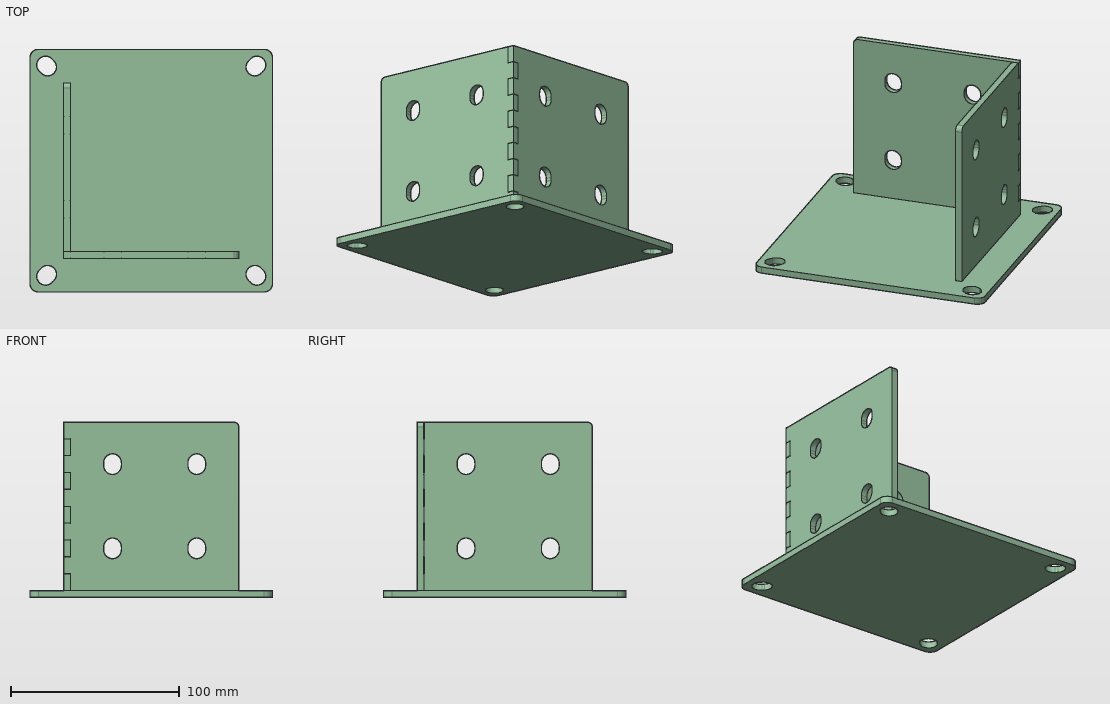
import cadquery as cq

base_size = 144.0
thickness = 4.0
wall_height = 100.0
wall_margin = 20.0
wall_length = base_size - 2 * wall_margin

base_corner_radius = 5.0
wall_corner_radius = 3.0

slot_width = 10.4
slot_length = 12.1
base_slot_inset = 10.0

face_length = wall_length - thickness
slot_columns = [thickness + face_length / 4, thickness + face_length * 3 / 4]
slot_rows = [wall_height / 4, wall_height * 3 / 4]

finger_count = 10
finger_height = wall_height / finger_count
finger_clearance = 0.1

wall_corner = -base_size / 2 + wall_margin


def make_base():
    """Square floor plate with rounded corners and a diagonal slot in each corner."""
    plate = cq.Workplane("XY").rect(base_size, base_size).extrude(thickness)
    plate = plate.edges("|Z").fillet(base_corner_radius)
    offset = base_size / 2 - base_slot_inset
    for x_sign in (-1, 1):
        for y_sign in (-1, 1):
            slot = (
                cq.Workplane("XY")
                .center(x_sign * offset, y_sign * offset)
                .slot2D(slot_length, slot_width, 45 * x_sign * y_sign)
                .extrude(thickness)
            )
            plate = plate.cut(slot)
    return plate


def make_panel(plane, first_notch, clearance):
    """Upright panel with its joint edge and foot on the axes of the plane.

    Every second finger is notched out of the joint edge, counting up from first_notch.
    The notches are larger than the fingers by the clearance, above, below and in depth.
    """
    panel = cq.Workplane(plane).rect(wall_length, wall_height, centered=False).extrude(thickness)

    top_edge = cq.selectors.NearestToPointSelector(
        plane.toWorldCoords((wall_length, wall_height, thickness / 2))
    )
    panel = panel.edges(top_edge).fillet(wall_corner_radius)

    slot_centers = [(column, row) for column in slot_columns for row in slot_rows]
    slots = cq.Workplane(plane).pushPoints(slot_centers).slot2D(slot_length, slot_width, 90)
    panel = panel.cut(slots.extrude(thickness))

    notch_depth = thickness + clearance
    notch_height = finger_height + 2 * clearance
    notch_corners = [
        (0, index * finger_height - clearance) for index in range(first_notch, finger_count, 2)
    ]
    notches = cq.Workplane(plane).pushPoints(notch_corners)
    notches = notches.rect(notch_depth, notch_height, centered=False).extrude(thickness)
    return panel.cut(notches)


front_plane = cq.Plane(
    origin=(wall_corner, wall_corner + thickness, thickness), xDir=(1, 0, 0), normal=(0, -1, 0)
)
side_plane = cq.Plane(
    origin=(wall_corner, wall_corner, thickness), xDir=(0, 1, 0), normal=(1, 0, 0)
)

base = make_base().solids()
front_wall = make_panel(front_plane, first_notch=0, clearance=0).solids()
side_wall = make_panel(side_plane, first_notch=1, clearance=finger_clearance).solids()

result = cq.Compound.makeCompound([base.val(), front_wall.val(), side_wall.val()])